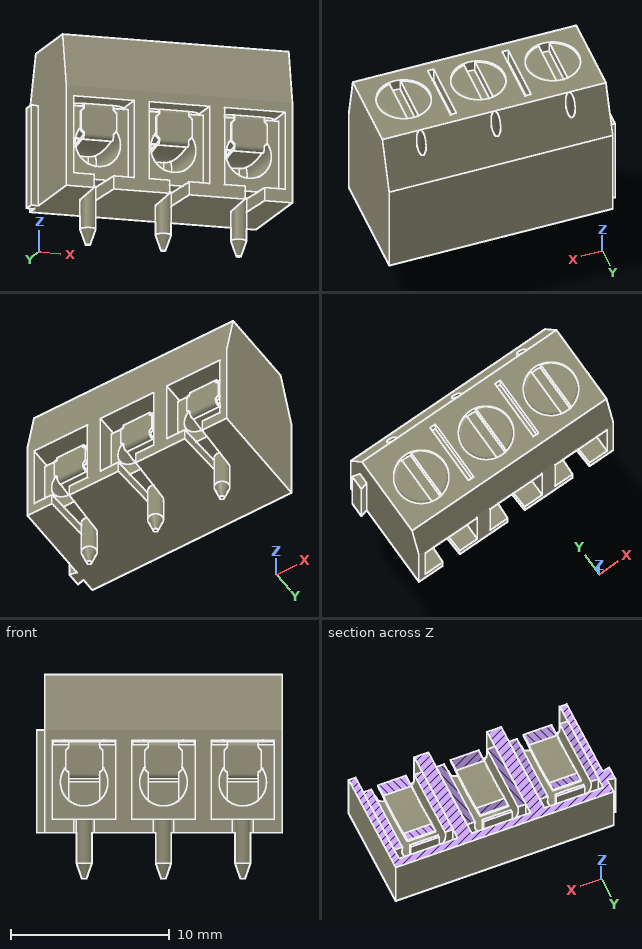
import cadquery as cq
import math


POLE_COUNT = 3
PITCH = 5.0
POLE_XS = [(i - (POLE_COUNT - 1) / 2) * PITCH for i in range(POLE_COUNT)]

LENGTH = POLE_COUNT * PITCH
DEPTH = 7.5
HEIGHT = 10.0
SHOULDER_Z = 6.5
FRONT_SLOPE = 0.75
REAR_SLOPE = 1.25
FRONT_Y = -DEPTH / 2
REAR_Y = DEPTH / 2

CAVITY_WIDTH = 4.0
CAVITY_HEIGHT = 5.0
FLOOR = 0.85
REAR_WALL = 0.6
CAVITY_TOP = FLOOR + CAVITY_HEIGHT
CAVITY_DEPTH = DEPTH - REAR_WALL

PIN_SLOT_MOUTH = 1.3
DIVIDER_WIDTH = 0.4
DIVIDER_LENGTH = 4.2
DIVIDER_DEPTH = 1.0
DIVIDER_Y = FRONT_Y + 3.5
PROBE_DIAMETER = 0.6
PROBE_Y = REAR_Y - 0.95

RAIL_HEIGHT = SHOULDER_Z
RAIL_PROJECTION = 0.5
RAIL_OUTER_WIDTH = 1.0
RAIL_ROOT_WIDTH = 0.75
RAIL_Y = REAR_Y - 1.4

SCREW_Y = FRONT_Y + 3.3
HEAD_DIAMETER = 3.5
HEAD_HEIGHT = 2.5
HEAD_ROUND = 0.2
SHANK_DIAMETER = 2.5
DRIVE_WIDTH = 0.75
DRIVE_DEPTH = 0.8
HEAD_BOTTOM = HEIGHT - HEAD_HEIGHT
SHANK_BOTTOM = 4.3

BLOCK_FRONT = FRONT_Y + 1.25
BLOCK_DEPTH = 4.95
BLOCK_HEIGHT = 4.7
BLOCK_REAR = BLOCK_FRONT + BLOCK_DEPTH
BLOCK_TOP = FLOOR + BLOCK_HEIGHT
WIRE_DIAMETER = 3.0
WIRE_Z = 3.2
PIN_DIAMETER = 1.0
PIN_TIP_DIAMETER = 0.3
PIN_TIP_LENGTH = 1.0
PIN_PROJECTION = 2.9

SHEET = 0.2
BEND = 0.3
STRIP_WIDTH = 1.95
PLATE_WIDTH = 3.9
PLATE_CORNER = 0.8
TONGUE_WIDTH = 2.35
TONGUE_TOP = 5.4
TONGUE_BOTTOM = 3.8
TONGUE_CHAMFER = (TONGUE_WIDTH - STRIP_WIDTH) / 2
LEG_BOTTOM = 1.2
LEAF_BEND_BOTTOM = 3.43
LEAF_BEND_ANGLE = 30
LEAF_SAG_BOTTOM = 3.23
LEAF_LENGTH = 4.5
GUARD_TOP = BLOCK_TOP + SHEET
GUARD_FRONT = BLOCK_FRONT - SHEET
GUARD_REAR = BLOCK_REAR + SHEET


def box(x_size, y_min, y_max, z_min, z_max):
    """Box centred on X = 0 between the given Y and Z limits."""
    size = (x_size, y_max - y_min, z_max - z_min)
    return cq.Workplane("XY").box(*size, centered=(True, False, False)).translate((0, y_min, z_min))


def rod(diameter, y, z_min, z_max):
    """Vertical cylinder on X = 0."""
    return cq.Workplane("XY", origin=(0, y, z_min)).circle(diameter / 2).extrude(z_max - z_min)


def housing_shell():
    """Solid housing with sloped front and rear shoulders."""
    profile = [
        (FRONT_Y, 0),
        (REAR_Y, 0),
        (REAR_Y, SHOULDER_Z),
        (REAR_Y - REAR_SLOPE, HEIGHT),
        (FRONT_Y + FRONT_SLOPE, HEIGHT),
        (FRONT_Y, SHOULDER_Z),
    ]
    return cq.Workplane("YZ").polyline(profile).close().extrude(LENGTH / 2, both=True)


def dovetail_rail():
    """Rail on the -X end, wider at its outer face than at its root."""
    root_x = -LENGTH / 2
    outer_x = root_x - RAIL_PROJECTION
    profile = [
        (root_x, RAIL_Y - RAIL_ROOT_WIDTH / 2),
        (root_x, RAIL_Y + RAIL_ROOT_WIDTH / 2),
        (outer_x, RAIL_Y + RAIL_OUTER_WIDTH / 2),
        (outer_x, RAIL_Y - RAIL_OUTER_WIDTH / 2),
    ]
    return cq.Workplane("XY").polyline(profile).close().extrude(RAIL_HEIGHT)


def pole_cutout():
    """Everything removed from the housing for one pole."""
    cavity = box(CAVITY_WIDTH, FRONT_Y, FRONT_Y + CAVITY_DEPTH, FLOOR, CAVITY_TOP)
    pin_slot_outline = [
        (-PIN_SLOT_MOUTH / 2, FRONT_Y),
        (PIN_SLOT_MOUTH / 2, FRONT_Y),
        (PIN_DIAMETER / 2, SCREW_Y),
        (-PIN_DIAMETER / 2, SCREW_Y),
    ]
    pin_slot = cq.Workplane("XY").polyline(pin_slot_outline).close().extrude(FLOOR)
    pin_seat = rod(PIN_DIAMETER, SCREW_Y, 0, FLOOR)
    head_bore = rod(HEAD_DIAMETER, SCREW_Y, HEAD_BOTTOM, HEIGHT)
    shank_bore = rod(SHANK_DIAMETER, SCREW_Y, CAVITY_TOP, HEAD_BOTTOM)
    probe_hole = rod(PROBE_DIAMETER, PROBE_Y, CAVITY_TOP, HEIGHT)
    return cavity.union(pin_slot).union(pin_seat).union(head_bore).union(shank_bore).union(probe_hole)


def make_housing():
    housing = housing_shell().union(dovetail_rail())
    cutout = pole_cutout()
    for x in POLE_XS:
        housing = housing.cut(cutout.translate((x, 0, 0)))
    half_length = DIVIDER_LENGTH / 2
    divider = box(
        DIVIDER_WIDTH, DIVIDER_Y - half_length, DIVIDER_Y + half_length, HEIGHT - DIVIDER_DEPTH, HEIGHT
    )
    for x in POLE_XS[:-1]:
        housing = housing.cut(divider.translate((x + PITCH / 2, 0, 0)))
    return housing


def make_screw():
    """Slotted screw with its shank ending above the wire guard leaf."""
    head = rod(HEAD_DIAMETER, SCREW_Y, HEAD_BOTTOM, HEIGHT).faces(">Z").edges().fillet(HEAD_ROUND)
    shank = rod(SHANK_DIAMETER, SCREW_Y, SHANK_BOTTOM, HEAD_BOTTOM)
    drive_reach = HEAD_DIAMETER / 2
    drive = box(DRIVE_WIDTH, SCREW_Y - drive_reach, SCREW_Y + drive_reach, HEIGHT - DRIVE_DEPTH, HEIGHT)
    return head.union(shank).cut(drive)


def make_terminal():
    """Clamping block with wire and screw holes, and a tapered pin below it."""
    block = box(CAVITY_WIDTH, BLOCK_FRONT, BLOCK_REAR, FLOOR, BLOCK_TOP)
    wire_hole = (
        cq.Workplane("XZ", origin=(0, BLOCK_FRONT, WIRE_Z)).circle(WIRE_DIAMETER / 2).extrude(-BLOCK_DEPTH)
    )
    screw_hole = rod(SHANK_DIAMETER, SCREW_Y, WIRE_Z, BLOCK_TOP)
    tip_z = -PIN_PROJECTION
    pin_profile = [
        (0, tip_z),
        (PIN_TIP_DIAMETER / 2, tip_z),
        (PIN_DIAMETER / 2, tip_z + PIN_TIP_LENGTH),
        (PIN_DIAMETER / 2, FLOOR),
        (0, FLOOR),
    ]
    pin_outline = cq.Workplane("XZ", origin=(0, SCREW_Y, 0)).polyline(pin_profile).close()
    pin = pin_outline.revolve(360, (0, 0), (0, 1))
    return block.cut(wire_hole).cut(screw_hole).union(pin)


def guard_strip():
    """Strip that rises behind the block, folds over it and down its front, and ends in the wire hole."""
    inner_bend = BEND - SHEET
    bend_y = GUARD_FRONT + BEND
    bend_z = LEAF_BEND_BOTTOM + BEND
    turn_sin = math.sin(math.radians(LEAF_BEND_ANGLE))
    turn_cos = math.cos(math.radians(LEAF_BEND_ANGLE))
    leaf_under = (bend_y + BEND * turn_sin, bend_z - BEND * turn_cos)
    leaf_over = (bend_y + inner_bend * turn_sin, bend_z - inner_bend * turn_cos)
    leaf_end_y = bend_y + LEAF_LENGTH
    leaf_middle_y = bend_y + LEAF_LENGTH / 2
    return (
        cq.Workplane("YZ")
        .moveTo(BLOCK_REAR, LEG_BOTTOM)
        .lineTo(BLOCK_REAR, BLOCK_TOP)
        .lineTo(BLOCK_FRONT, BLOCK_TOP)
        .lineTo(BLOCK_FRONT, bend_z)
        .radiusArc(leaf_over, -inner_bend)
        .threePointArc((leaf_middle_y, LEAF_SAG_BOTTOM + SHEET), (leaf_end_y, leaf_over[1]))
        .lineTo(leaf_end_y, leaf_under[1])
        .threePointArc((leaf_middle_y, LEAF_SAG_BOTTOM), leaf_under)
        .radiusArc((GUARD_FRONT, bend_z), BEND)
        .lineTo(GUARD_FRONT, GUARD_TOP - BEND)
        .radiusArc((GUARD_FRONT + BEND, GUARD_TOP), BEND)
        .lineTo(GUARD_REAR - BEND, GUARD_TOP)
        .radiusArc((GUARD_REAR, GUARD_TOP - BEND), BEND)
        .lineTo(GUARD_REAR, LEG_BOTTOM)
        .close()
        .extrude(STRIP_WIDTH / 2, both=True)
    )


def make_guard():
    """Folded strip with a wide plate on top of the block and a widened tongue at the front."""
    plate = box(PLATE_WIDTH, GUARD_FRONT + BEND, GUARD_REAR - BEND, BLOCK_TOP, GUARD_TOP)
    plate = plate.edges("|Z").fillet(PLATE_CORNER)
    tongue = box(TONGUE_WIDTH, GUARD_FRONT, BLOCK_FRONT, TONGUE_BOTTOM, TONGUE_TOP)
    tongue = tongue.edges("|Y").chamfer(TONGUE_CHAMFER)
    screw_hole = rod(SHANK_DIAMETER, SCREW_Y, BLOCK_TOP, GUARD_TOP)
    return guard_strip().union(plate).union(tongue).cut(screw_hole)


def at_each_pole(body):
    """One separate copy of the body's solid at every pole."""
    return [body.translate((x, 0, 0)).val() for x in POLE_XS]


housing = make_housing()
screws = at_each_pole(make_screw())
terminals = at_each_pole(make_terminal())
guards = at_each_pole(make_guard())

result = cq.Compound.makeCompound([housing.val(), *screws, *terminals, *guards])